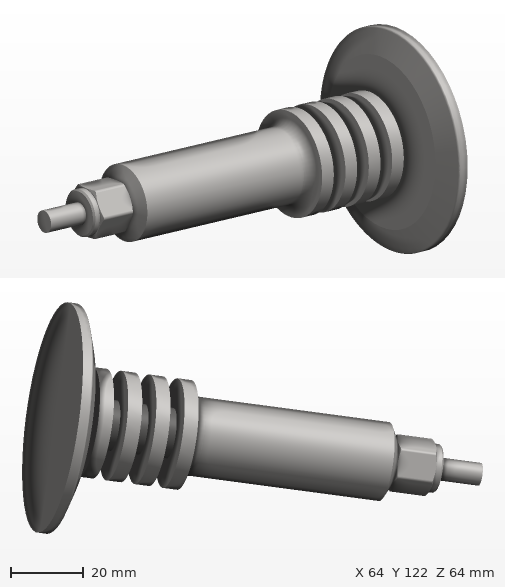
import cadquery as cq
import math

total_length = 122.0

flange_diameter = 64.0
flange_face_diameter = 49.4
flange_rim_thickness = 2.8
flange_thickness = 5.6
flange_rim_fillet = 0.6
selection_margin = 0.1

neck_diameter = 14.0
fin_diameter = 30.5
fin_count = 4
fin_thickness = 4.0
fin_pitch = 8.0
first_fin_start = 9.4
fins_end = first_fin_start + (fin_count - 1) * fin_pitch + fin_thickness

body_diameter = 22.0
body_root_fillet = 3.0
body_straight_end = 94.7
body_end = 96.9

nut_across_flats = 14.0
nut_edge_fillet = 1.0
nut_end = 107.8
nut_end_chamfer_height = 0.6
nut_corner_radius = nut_across_flats / math.sqrt(3)

collar_diameter = 13.5
collar_end = 109.9
collar_chamfer = 0.5

pin_diameter = 6.3


def cylinder(diameter, start, end):
    """Solid cylinder between two stations on the axis."""
    plane = cq.Workplane("XZ", origin=(0, -start, 0))
    return plane.circle(diameter / 2).extrude(end - start)


def cone(start_diameter, end_diameter, start, end):
    """Solid frustum between two stations on the axis."""
    profile = [(0, -start), (start_diameter / 2, -start), (end_diameter / 2, -end), (0, -end)]
    return cq.Workplane("XY").polyline(profile).close().revolve(360, (0, 0), (0, 1))


def make_flange():
    """Disc with a conical front and a rounded corner between rim and cone."""
    rim = cylinder(flange_diameter, 0, flange_rim_thickness)
    front = cone(flange_diameter, flange_face_diameter, flange_rim_thickness, flange_thickness)
    rim_corner = cq.selectors.BoxSelector(
        (-flange_diameter, -flange_rim_thickness - selection_margin, -flange_diameter),
        (flange_diameter, -flange_rim_thickness + selection_margin, flange_diameter),
    )
    return rim.union(front).edges(rim_corner).fillet(flange_rim_fillet)


def make_finned_neck():
    """Narrow neck carrying evenly spaced cooling fins."""
    neck = cylinder(neck_diameter, 0, fins_end)
    for index in range(fin_count):
        start = first_fin_start + index * fin_pitch
        neck = neck.union(cylinder(fin_diameter, start, start + fin_thickness))
    return neck


def make_body():
    """Cylinder with a concave root fillet at the last fin and a tapered free end."""
    radius = body_diameter / 2
    arc_offset = body_root_fillet * (1 - math.cos(math.pi / 4))
    profile = (
        cq.Workplane("XY")
        .moveTo(0, -fins_end)
        .lineTo(radius + body_root_fillet, -fins_end)
        .threePointArc(
            (radius + arc_offset, -fins_end - arc_offset),
            (radius, -fins_end - body_root_fillet),
        )
        .lineTo(radius, -body_straight_end)
        .lineTo(nut_across_flats / 2, -body_end)
        .lineTo(0, -body_end)
        .close()
    )
    return profile.revolve(360, (0, 0), (0, 1))


def make_nut():
    """Hexagon with corners on X, rounded long edges and both ends turned conical."""
    hexagon = (
        cq.Workplane("XZ", origin=(0, -body_end, 0))
        .polygon(6, 2 * nut_corner_radius)
        .extrude(nut_end - body_end)
        .edges("|Y")
        .fillet(nut_edge_fillet)
    )
    turned_blank = (
        cylinder(2 * nut_corner_radius, body_end, nut_end)
        .faces("<Y or >Y")
        .chamfer(nut_end_chamfer_height, nut_corner_radius - nut_across_flats / 2)
    )
    return hexagon.intersect(turned_blank)


def make_collar():
    """Short round collar with a chamfered free end."""
    return cylinder(collar_diameter, nut_end, collar_end).faces("<Y").chamfer(collar_chamfer)


result = (
    make_flange()
    .union(make_finned_neck())
    .union(make_body())
    .union(make_nut())
    .union(make_collar())
    .union(cylinder(pin_diameter, collar_end, total_length))
)